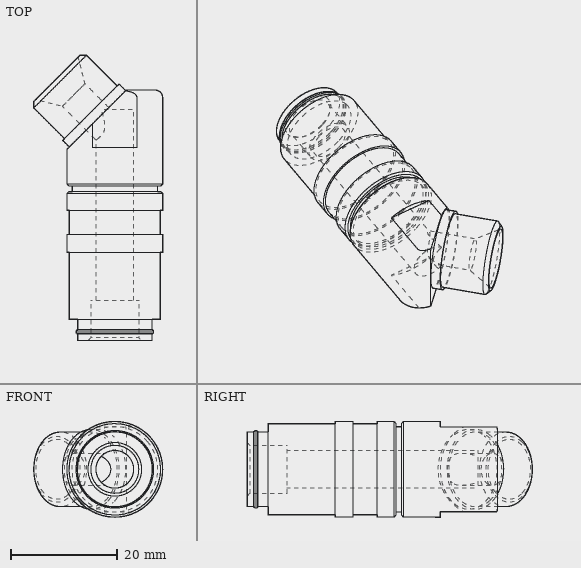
import cadquery as cq
import math

overall_length = 53.6

body_radius = 9.0
sleeve_radius = 8.6
groove_radius = 8.05
tip_radius = 7.0
snap_ring_radius = 7.3

snap_ring_start, snap_ring_end = 1.25, 2.05
snap_ring_chamfer = 0.2
tip_length = 3.95
band_start, band_end = 16.55, 19.95
collar_start = 24.45
groove_start, groove_end = 28.0, 29.0
groove_edge_chamfer = 0.4
body_length = 47.05
body_end_fillet = 1.45

flat_height = 8.0
flat_start = 36.3

port_angle = 45
seat_offset = 4.6
port_collar_radius = 7.5
port_collar_length = 1.75
port_radius = 7.0
port_length = 10.8
port_chamfer = 0.85

mouth_radius = 5.05
socket_radius = 4.5
mouth_chamfer = mouth_radius - socket_radius
socket_depth = 7.5
bore_radius = 3.55
bore_depth = 43.35
port_bore_radius = 3.0
port_mouth_radius = 5.65
port_cone_depth = 4.45

port_tilt = math.radians(port_angle)
port_end = seat_offset + port_length

rim_reach = (port_end - port_chamfer) * math.cos(port_tilt) + port_radius * math.sin(port_tilt)
elbow_y = overall_length - rim_reach

port_plane = cq.Plane(
    origin=(0, elbow_y, 0),
    xDir=(math.cos(port_tilt), math.sin(port_tilt), 0),
    normal=(-math.sin(port_tilt), math.cos(port_tilt), 0),
)


def body_cylinder(radius, start, end):
    """Cylinder on the body axis between two Y positions."""
    plane = cq.Plane(origin=(0, start, 0), xDir=(1, 0, 0), normal=(0, 1, 0))
    return cq.Workplane(plane).circle(radius).extrude(end - start)


def port_cylinder(radius, start, end):
    """Cylinder on the port axis between two distances from the elbow."""
    return cq.Workplane(port_plane).workplane(offset=start).circle(radius).extrude(end - start)


def make_body():
    body = body_cylinder(tip_radius, 0, tip_length)
    snap_ring = body_cylinder(snap_ring_radius, snap_ring_start, snap_ring_end)
    collar = body_cylinder(body_radius, collar_start, groove_start)
    body = body.union(snap_ring.edges().chamfer(snap_ring_chamfer))
    body = body.union(body_cylinder(sleeve_radius, tip_length, collar_start))
    body = body.union(body_cylinder(body_radius, band_start, band_end))
    body = body.union(collar.faces(">Y").edges().chamfer(groove_edge_chamfer))
    body = body.union(body_cylinder(groove_radius, groove_start, groove_end))
    return body.union(make_elbow())


def make_elbow():
    elbow = body_cylinder(body_radius, groove_end, body_length)
    elbow = elbow.faces("<Y").edges().chamfer(groove_edge_chamfer)
    elbow = elbow.faces(">Y").edges().fillet(body_end_fillet)
    flat_length = body_length - flat_start
    flat_depth = body_radius - flat_height
    for side in (-1, 1):
        center_z = side * (flat_height + flat_depth / 2)
        flat_cut = cq.Workplane("XY").box(2 * body_radius, flat_length, flat_depth)
        elbow = elbow.cut(flat_cut.translate((0, flat_start + flat_length / 2, center_z)))
    seat_cut = cq.Workplane(port_plane).workplane(offset=seat_offset)
    return elbow.cut(seat_cut.rect(2 * body_length, 2 * body_length).extrude(body_length))


def make_port():
    port = port_cylinder(port_radius, seat_offset, port_end)
    port = port.faces(cq.selectors.DirectionMinMaxSelector(port_plane.zDir)).edges().chamfer(port_chamfer)
    collar = port_cylinder(port_collar_radius, seat_offset, seat_offset + port_collar_length)
    return port.union(collar)


def make_bores():
    mouth = cq.Workplane("XZ").circle(mouth_radius).workplane(offset=-mouth_chamfer)
    mouth = mouth.circle(socket_radius).loft()
    cone = cq.Workplane(port_plane).workplane(offset=port_end).circle(port_mouth_radius)
    cone = cone.workplane(offset=-port_cone_depth).circle(port_bore_radius).loft()
    bores = body_cylinder(bore_radius, 0, bore_depth)
    bores = bores.union(body_cylinder(socket_radius, 0, socket_depth))
    bores = bores.union(mouth)
    bores = bores.union(port_cylinder(port_bore_radius, 0, port_end))
    return bores.union(cone)


result = make_body().union(make_port()).cut(make_bores())